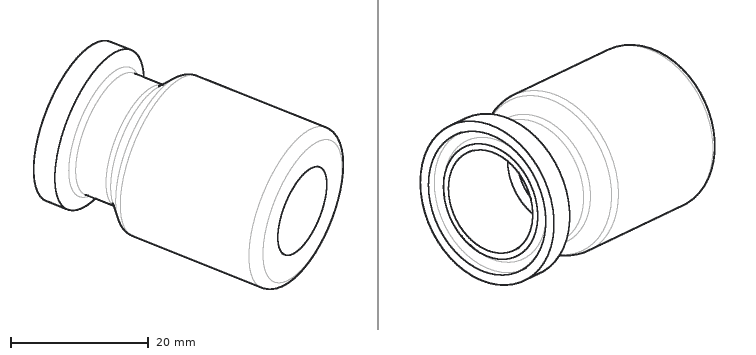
import cadquery as cq
import math

LENGTH = 38.1

FLANGE_DIAMETER = 25.0
NECK_DIAMETER = 19.05
BODY_DIAMETER = 25.15

FLANGE_RIM_WIDTH = 3.62
FLANGE_BACK_ANGLE = 20.0
FLANGE_ROOT_RADIUS = 0.88
SHOULDER_START = 11.1
SHOULDER_ANGLE = 45.0
SHOULDER_RADIUS = 1.5
END_RADIUS = 1.5

BORE_MOUTH_DIAMETER = 15.75
BORE_END_DIAMETER = 13.7
BORE_CONE_START = 14.48
BORE_CONE_ANGLE = 45.0

GROOVE_DIAMETER = 21.9
GROOVE_WALL_DEPTH = 1.3
GROOVE_INNER_DIAMETER = 19.05
LIP_DIAMETER = 17.6
LIP_RECESS = 0.8
LIP_CONE_ANGLE = 36.5


def revolve_about_x(profile):
    """Revolve a closed (x, radius) profile around the X axis."""
    return profile.close().revolve(360, (0, 0, 0), (1, 0, 0))


def fillet_ring(solid, x, radius, fillet_radius):
    """Round the circular edge that lies at position x with the given radius."""
    margin = 0.05
    reach = radius + margin
    ring = cq.selectors.BoxSelector(
        (x - margin, -reach, -reach), (x + margin, reach, reach), boundingbox=True
    )
    return solid.edges(ring).fillet(fillet_radius)


def make_outside():
    """Solid flange, neck, conical shoulder and body with their rounded corners."""
    flange_radius = FLANGE_DIAMETER / 2
    neck_radius = NECK_DIAMETER / 2
    body_radius = BODY_DIAMETER / 2
    back_length = (flange_radius - neck_radius) * math.tan(math.radians(FLANGE_BACK_ANGLE))
    neck_start = FLANGE_RIM_WIDTH + back_length
    shoulder_length = (body_radius - neck_radius) / math.tan(math.radians(SHOULDER_ANGLE))
    shoulder_end = SHOULDER_START + shoulder_length

    outside = revolve_about_x(
        cq.Workplane("XY")
        .moveTo(0, 0)
        .lineTo(0, flange_radius)
        .lineTo(FLANGE_RIM_WIDTH, flange_radius)
        .lineTo(neck_start, neck_radius)
        .lineTo(SHOULDER_START, neck_radius)
        .lineTo(shoulder_end, body_radius)
        .lineTo(LENGTH, body_radius)
        .lineTo(LENGTH, 0)
    )
    outside = fillet_ring(outside, neck_start, neck_radius, FLANGE_ROOT_RADIUS)
    outside = fillet_ring(outside, SHOULDER_START, neck_radius, SHOULDER_RADIUS)
    outside = fillet_ring(outside, shoulder_end, body_radius, SHOULDER_RADIUS)
    return fillet_ring(outside, LENGTH, body_radius, END_RADIUS)


def make_bore():
    """Through bore: wide at the flange, then a short cone down to the narrow body bore."""
    mouth_radius = BORE_MOUTH_DIAMETER / 2
    end_radius = BORE_END_DIAMETER / 2
    cone_length = (mouth_radius - end_radius) / math.tan(math.radians(BORE_CONE_ANGLE))
    return revolve_about_x(
        cq.Workplane("XY")
        .moveTo(0, 0)
        .lineTo(0, mouth_radius)
        .lineTo(BORE_CONE_START, mouth_radius)
        .lineTo(BORE_CONE_START + cone_length, end_radius)
        .lineTo(LENGTH, end_radius)
        .lineTo(LENGTH, 0)
    )


def make_face_groove():
    """Gasket groove: straight outer wall, round bottom, conical inner side, recessed lip."""
    wall_radius = GROOVE_DIAMETER / 2
    inner_radius = GROOVE_INNER_DIAMETER / 2
    slope = math.radians(LIP_CONE_ANGLE)

    arc_radius = (wall_radius - inner_radius) / (1 + math.cos(slope))
    arc_center = wall_radius - arc_radius
    arc_end = GROOVE_WALL_DEPTH + arc_radius * math.sin(slope)
    arc_bottom = GROOVE_WALL_DEPTH + arc_radius

    return revolve_about_x(
        cq.Workplane("XY")
        .moveTo(0, 0)
        .lineTo(0, wall_radius)
        .lineTo(GROOVE_WALL_DEPTH, wall_radius)
        .threePointArc((arc_bottom, arc_center), (arc_end, inner_radius))
        .lineTo(LIP_RECESS, LIP_DIAMETER / 2)
        .lineTo(LIP_RECESS, 0)
    )


result = make_outside().cut(make_face_groove()).cut(make_bore())